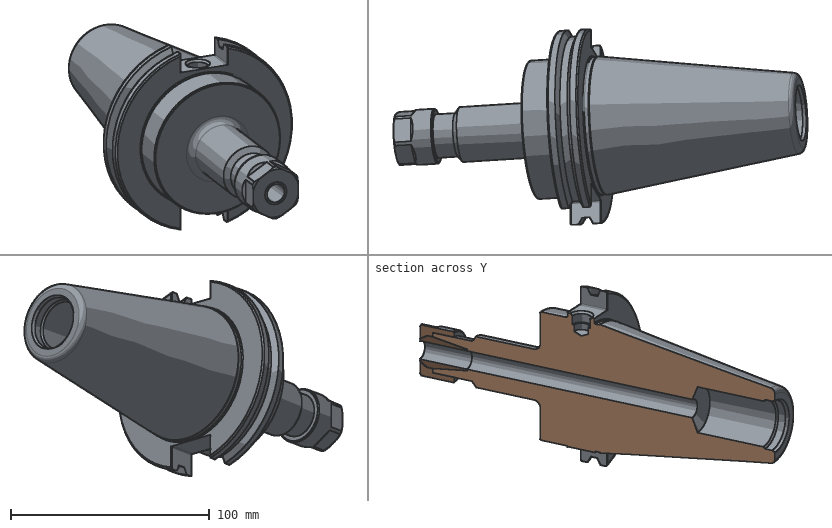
import cadquery as cq
import math


total_length = 206.2

gauge_x = 101.5
gauge_radius = 70.0 / 2
taper_slope = (7 / 24) / 2
taper_end_fillet = 2.9
collar_radius = 34.6
collar_step = 0.6

flange_start_x = 104.8
flange_end_x = 120.7
flange_radius = 98.0 / 2
flange_chamfer = 0.8
flange_root_fillet = 0.6
groove_x = 112.6
groove_radius = 91.4 / 2
groove_floor_width = 3.7
groove_half_angle = 30

slot_width = 25.5
slot_floor_fillet = 0.52
slot_edge_chamfer = 0.52
upper_slot_floor = 37.5
lower_slot_floor = 35.3

slot_hole_mouth_diameter = 12.4
slot_hole_thread_diameter = 10.1
slot_hole_drill_diameter = 8.0
slot_hole_thread_depth = 5.8
slot_hole_drill_depth = 9.3

head_radius = 70.0 / 2
head_end_x = 136.5
head_chamfer = 0.6
stem_radius = 27.8 / 2
stem_fillet = 3.5
stem_end_x = 173.7
neck_radius = 22.0 / 2
neck_start_x = 176.1
nose_x = 198.8

mouth_radius = 14.0
counterbore_radius = 13.2
thread_radius = 24.5 / 2
mouth_chamfer_depth = 1.6
counterbore_depth = 5.8
thread_chamfer_depth = 0.93
thread_depth = 45.0
drill_half_angle = 135 / 2
through_radius = 9.7 / 2

nut_start_x = 186.2
nut_radius = 27.8 / 2
nut_rear_chamfer = 0.6
nut_front_chamfer_length = 0.72
nut_front_rim_radius = 12.8
hex_across_flats = 25.0
hex_start_x = 197.4
hex_sides = 6

collet_length = 27.5
collet_radius = 8.5
collet_front_radius = 6.0
collet_front_angle = 30
collet_taper_angle = 8

taper_end_radius = gauge_radius - gauge_x * taper_slope
collet_rear_x = total_length - collet_length
collet_rear_radius = collet_radius - (nose_x - collet_rear_x) * math.tan(math.radians(collet_taper_angle))
collet_front_cone = (collet_radius - collet_front_radius) / math.tan(math.radians(collet_front_angle))
collet_shoulder_x = total_length - collet_front_cone


def drill_point_length(large_radius, small_radius=0.0):
    """Axial length of a drill-point cone between two radii."""
    return (large_radius - small_radius) / math.tan(math.radians(drill_half_angle))


def turned(points):
    """Solid of revolution about X from (x, radius) points."""
    return cq.Workplane("XY").polyline(points).close().revolve(360, (0, 0, 0), (1, 0, 0))


def shank():
    """Taper shank up to the flange, with a narrower collar past the gauge line."""
    taper = turned([
        (0, 0),
        (0, taper_end_radius),
        (gauge_x, gauge_radius),
        (gauge_x + collar_step, collar_radius),
        (flange_start_x, collar_radius),
        (flange_start_x, 0),
    ])
    return taper.faces("<X").edges().fillet(taper_end_fillet)


def slot_cutter(floor, side):
    """Driving slot at +Z (side 1) or -Z (side -1), flared where its walls meet the flange faces."""
    length = flange_end_x - flange_start_x
    height = flange_radius - floor
    slot = cq.Workplane("XY").box(length, slot_width, height)
    slot = slot.faces("<Z").edges("|X").fillet(slot_floor_fillet)
    half_length = length / 2
    half_width = slot_width / 2
    for end in (1, -1):
        flare = (
            cq.Workplane("XY")
            .polyline([
                (end * half_length, half_width + slot_edge_chamfer),
                (end * half_length, -half_width - slot_edge_chamfer),
                (end * (half_length - slot_edge_chamfer), -half_width),
                (end * (half_length - slot_edge_chamfer), half_width),
            ])
            .close()
            .extrude(height / 2, both=True)
        )
        slot = slot.union(flare)
    slot = slot.translate((flange_start_x + half_length, 0, floor + height / 2))
    return slot if side > 0 else slot.rotate((0, 0, 0), (1, 0, 0), 180)


def flange():
    """Gripping flange with a V-groove and two driving slots of different depth."""
    half_floor = groove_floor_width / 2
    half_mouth = half_floor + (flange_radius - groove_radius) * math.tan(math.radians(groove_half_angle))
    shoulder = flange_radius - flange_chamfer
    disc = turned([
        (flange_start_x, 0),
        (flange_start_x, shoulder),
        (flange_start_x + flange_chamfer, flange_radius),
        (groove_x - half_mouth, flange_radius),
        (groove_x - half_floor, groove_radius),
        (groove_x + half_floor, groove_radius),
        (groove_x + half_mouth, flange_radius),
        (flange_end_x - flange_chamfer, flange_radius),
        (flange_end_x, shoulder),
        (flange_end_x, 0),
    ])
    for side, floor in ((1, upper_slot_floor), (-1, lower_slot_floor)):
        disc = disc.cut(slot_cutter(floor, side))
    return disc


def head_and_stem():
    """Head behind the flange, filleted stem and the neck that carries the nut."""
    profile = (
        cq.Workplane("XY")
        .moveTo(flange_end_x, 0)
        .lineTo(flange_end_x, head_radius)
        .lineTo(head_end_x - head_chamfer, head_radius)
        .lineTo(head_end_x, head_radius - head_chamfer)
        .lineTo(head_end_x, stem_radius + stem_fillet)
        .radiusArc((head_end_x + stem_fillet, stem_radius), -stem_fillet)
        .lineTo(stem_end_x, stem_radius)
        .lineTo(neck_start_x, neck_radius)
        .lineTo(nose_x, neck_radius)
        .lineTo(nose_x, 0)
        .close()
    )
    return profile.revolve(360, (0, 0, 0), (1, 0, 0))


def root_fillet(face_x, radius, direction):
    """Fillet ring between a flange face and the cylinder leaving it along +X (1) or -X (-1)."""
    reach = direction * flange_root_fillet
    return (
        cq.Workplane("XY")
        .moveTo(face_x, radius)
        .lineTo(face_x, radius + flange_root_fillet)
        .radiusArc((face_x + reach, radius), -reach)
        .close()
        .revolve(360, (0, 0, 0), (1, 0, 0))
    )


def holder_bore():
    """Stepped bore of the shank, through hole and taper seat for the collet."""
    counterbore_end = counterbore_depth + thread_chamfer_depth
    return turned([
        (0, 0),
        (0, mouth_radius),
        (mouth_chamfer_depth, counterbore_radius),
        (counterbore_depth, counterbore_radius),
        (counterbore_end, thread_radius),
        (thread_depth, thread_radius),
        (thread_depth + drill_point_length(thread_radius, through_radius), through_radius),
        (collet_rear_x, through_radius),
        (collet_rear_x, collet_rear_radius),
        (nose_x, collet_radius),
        (nose_x, 0),
    ])


def slot_hole():
    """Chamfered, stepped blind hole down from the upper slot floor."""
    mouth = slot_hole_mouth_diameter / 2
    thread = slot_hole_thread_diameter / 2
    drill = slot_hole_drill_diameter / 2
    profile = [
        (0, 0),
        (mouth, 0),
        (thread, thread - mouth),
        (thread, -slot_hole_thread_depth),
        (drill, -slot_hole_thread_depth),
        (drill, -slot_hole_drill_depth),
        (0, -slot_hole_drill_depth - drill_point_length(drill)),
    ]
    cutter = cq.Workplane("XZ").polyline(profile).close().revolve(360, (0, 0, 0), (0, 1, 0))
    return cutter.translate((groove_x, 0, upper_slot_floor))


def make_holder():
    """Shank, flange, head and stem as one turned body with its bore and slot hole."""
    body = shank().union(flange()).union(head_and_stem())
    body = body.union(root_fillet(flange_start_x, collar_radius, -1))
    body = body.union(root_fillet(flange_end_x, head_radius, 1))
    return body.cut(holder_bore()).cut(slot_hole())


def hex_flat_cutter():
    """Removes one flat at +Y, with a 45 degree run-out towards the round rear of the nut."""
    flat = hex_across_flats / 2
    clear = nut_radius
    section = [
        (total_length, flat),
        (hex_start_x, flat),
        (hex_start_x - clear, flat + clear),
        (total_length, flat + clear),
    ]
    return cq.Workplane("XY").polyline(section).close().extrude(nut_radius, both=True)


def make_nut():
    """Nut on the neck, closed over the collet by a conical seat."""
    nut = turned([
        (nut_start_x, neck_radius),
        (nut_start_x, nut_radius - nut_rear_chamfer),
        (nut_start_x + nut_rear_chamfer, nut_radius),
        (total_length - nut_front_chamfer_length, nut_radius),
        (total_length, nut_front_rim_radius),
        (total_length, collet_front_radius),
        (collet_shoulder_x, collet_radius),
        (nose_x, collet_radius),
        (nose_x, neck_radius),
    ])
    cutter = hex_flat_cutter()
    for side in range(hex_sides):
        nut = nut.cut(cutter.rotate((0, 0, 0), (1, 0, 0), side * 360 / hex_sides))
    return nut


def make_collet():
    """Collet filling the taper seat and flush with the nut face."""
    return turned([
        (collet_rear_x, through_radius),
        (collet_rear_x, collet_rear_radius),
        (nose_x, collet_radius),
        (collet_shoulder_x, collet_radius),
        (total_length, collet_front_radius),
        (total_length, through_radius),
    ])


holder = make_holder().solids()
nut = make_nut().solids()
collet = make_collet()

result = cq.Compound.makeCompound([holder.val(), nut.val(), collet.val()])